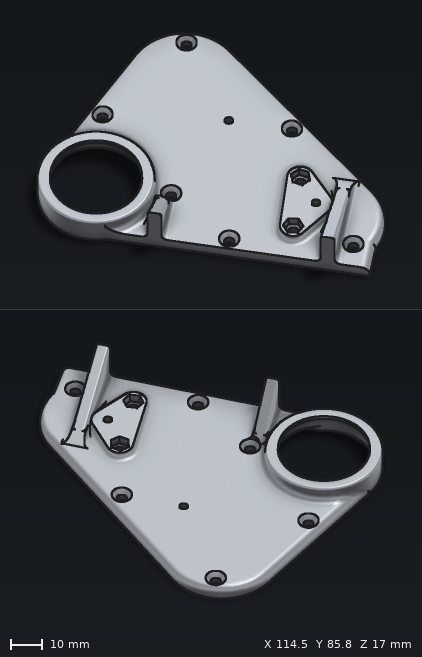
import cadquery as cq
import math


plate_thickness = 4.0
corner_radius = 18.5
border_fillet = 3.0
corner_y = 48.83
left_corner = (-16.5, corner_y)
right_corner = (55.0, corner_y)
top_y = corner_y + corner_radius

edge_angle = 41.3
edge_offset = 17.5
edge_end = 90.5

ring_radius = corner_radius
ring_height = 8.4
ring_top_fillet = 1.0
ring_base_fillet = 3.0
bore_radius = 14.5
ring_wall = 2.0
seat_radius = ring_radius - ring_wall
seat_top = 7.2
recess_radius = 20.0
recess_depth = 2.0

ribs = [(21.75, 17.2), (77.1, 33.4)]
rib_height = 17.0
rib_width = 4.5
rib_top_fillet = 1.0
rib_base_fillet = 2.0
rib_root = plate_thickness - 2.0

pad_height = 6.0
pad_fillet = 3.0
pad_pilot = (49.85, 48.7)
pad_pilot_boss_radius = 5.0
nut_boss_radius = 4.0
nuts = [((38.8, 51.35), 30.0), ((52.4, 37.5), 48.0)]
nut_flats = 5.5
nut_corners = nut_flats / math.cos(math.radians(30))
nut_depth = 3.0
bolt_radius = 1.6

pilot_radius = 1.3
plate_pilot = (6.0, 48.7)
screw_radius = 1.6
screw_head_radius = 3.2
screw_head_clearance = 4.0
screw_centres = [
    (-26.5, 57.7),
    (20.9, 62.25),
    (-20.75, 19.2),
    (17.2, 16.5),
    (42.7, 19.5),
    (68.75, 48.65),
]

beyond = 200.0
tolerance = 0.01
edge_direction = math.radians(edge_angle)
edge_normal = edge_direction - math.pi / 2

side_direction = math.atan2(-left_corner[1], -left_corner[0])
side_normal = side_direction - math.pi / 2


def polar(centre, radius, angle):
    return (centre[0] + radius * math.cos(angle), centre[1] + radius * math.sin(angle))


def cylinder(centre, radius, bottom, height):
    return cq.Workplane("XY").workplane(offset=bottom).center(*centre).circle(radius).extrude(height)


def place_on_edge(shape):
    """Move a shape built with X along the mounting edge and Y pointing into the plate."""
    foot = polar((0, 0), edge_offset, edge_normal)
    return shape.rotate((0, 0, 0), (0, 0, 1), edge_angle).translate((foot[0], foot[1], 0))


def edge_point(position, depth):
    """Point at a position along the mounting edge and a depth into the plate."""
    foot = polar((0, 0), edge_offset - depth, edge_normal)
    return polar(foot, position, edge_direction)


def oversize_outline(overhang):
    """Plate outline continued past the mounting edge by an overhang."""
    side_start = polar(left_corner, corner_radius, side_normal)
    side_touch = polar((0, 0), ring_radius, side_normal)
    turn = edge_direction - side_direction
    side_run = (edge_offset + overhang - ring_radius * math.cos(turn)) / math.sin(turn)
    side_foot = polar(side_touch, side_run, side_direction)

    along_x, along_y = polar((0, 0), 1, edge_direction)
    corner_position = right_corner[0] * along_x + right_corner[1] * along_y
    end_angle = edge_direction - math.acos((edge_end - corner_position) / corner_radius)

    top = math.pi / 2
    left_middle = (side_normal + 2 * math.pi + top) / 2
    right_middle = (top + end_angle) / 2
    return (
        cq.Workplane("XY")
        .moveTo(*side_foot)
        .lineTo(*side_start)
        .threePointArc(polar(left_corner, corner_radius, left_middle), (left_corner[0], top_y))
        .lineTo(right_corner[0], top_y)
        .threePointArc(
            polar(right_corner, corner_radius, right_middle),
            polar(right_corner, corner_radius, end_angle),
        )
        .lineTo(*edge_point(edge_end, -overhang))
        .close()
    )


def rounded_plate():
    """Plate with a rounded border, cut off sharp along the mounting edge."""
    oversize = oversize_outline(2 * border_fillet).extrude(plate_thickness)
    oversize = oversize.faces(">Z").edges().fillet(border_fillet)
    past_edge = cq.Workplane("XY").rect(2 * beyond, beyond).extrude(plate_thickness)
    return oversize.cut(place_on_edge(past_edge.translate((0, -beyond / 2, 0))))


def tip_sector():
    """Sector below the ring's touching point, in which only the ring itself remains."""
    touch = polar((0, 0), ring_radius, side_normal)
    sector = [
        (0, 0),
        touch,
        polar(touch, beyond, side_direction - math.pi / 4),
        edge_point(0, -beyond),
    ]
    return cq.Workplane("XY").polyline(sector).close().extrude(ring_height)


def add_ring(plate):
    ring = cylinder((0, 0), ring_radius, 0, ring_height)
    body = plate.union(ring)

    def is_ring_foot(edge):
        middle = edge.positionAt(0.5)
        on_ring = abs(math.hypot(middle.x, middle.y) - ring_radius) < tolerance
        above_base = tolerance < middle.z < plate_thickness + tolerance
        return on_ring and above_base and edge.geomType() != "LINE"

    tip = tip_sector().cut(ring)
    foot = [edge for edge in body.edges().vals() if is_ring_foot(edge)]
    body = body.newObject(foot).fillet(ring_base_fillet).cut(tip)
    return body.faces(">Z").edges().fillet(ring_top_fillet)


def pad():
    outline = cq.Sketch()
    for centre, _ in nuts:
        outline = outline.arc(centre, nut_boss_radius, 0.0, 360.0)
    outline = outline.arc(pad_pilot, pad_pilot_boss_radius, 0.0, 360.0).hull()

    reach = math.dist(pad_pilot, nuts[0][0]) + nut_boss_radius + 2 * pad_fillet
    slab = cq.Workplane("XY").center(*pad_pilot).rect(4 * reach, 4 * reach).extrude(plate_thickness)
    block = cq.Workplane("XY").placeSketch(outline).extrude(plate_thickness + 2 * pad_fillet)
    foot = cq.selectors.BoxSelector(
        (pad_pilot[0] - reach, pad_pilot[1] - reach, plate_thickness - tolerance),
        (pad_pilot[0] + reach, pad_pilot[1] + reach, plate_thickness + tolerance),
    )
    flared = slab.union(block).edges(foot).fillet(pad_fillet)
    layer = cq.Workplane("XY").workplane(offset=plate_thickness).rect(2 * beyond, 2 * beyond)
    return flared.intersect(layer.extrude(pad_height - plate_thickness))


def rib(position, length):
    """Gusset sloping down from the mounting edge, with flared feet and a rounded top."""
    side = rib_width / 2
    foot = side + rib_base_fillet
    foot_top = plate_thickness + rib_base_fillet

    def gusset(width):
        slope = [(0, rib_root), (0, rib_height), (length, plate_thickness), (length, rib_root)]
        return cq.Workplane("YZ").polyline(slope).close().extrude(width / 2, both=True)

    stem = gusset(rib_width).edges("not (|X or |Y or |Z)").fillet(rib_top_fillet)
    arc_middle = rib_base_fillet * (1 - math.sqrt(0.5))
    feet = (
        cq.Workplane("XZ")
        .moveTo(-foot, rib_root)
        .lineTo(-foot, plate_thickness)
        .threePointArc((-side - arc_middle, plate_thickness + arc_middle), (-side, foot_top))
        .lineTo(side, foot_top)
        .threePointArc((side + arc_middle, plate_thickness + arc_middle), (foot, plate_thickness))
        .lineTo(foot, rib_root)
        .close()
        .extrude(-length)
        .intersect(gusset(2 * foot))
    )
    return place_on_edge(stem.union(feet).translate((position, 0, 0)))


def screw_hole(centre):
    cone_depth = screw_head_radius - screw_radius
    cone = cq.Solid.makeCone(
        screw_radius,
        screw_head_radius,
        cone_depth,
        pnt=cq.Vector(centre[0], centre[1], plate_thickness - cone_depth),
    )
    shank = cylinder(centre, screw_radius, 0, plate_thickness)
    clearance = cylinder(centre, screw_head_radius, plate_thickness, screw_head_clearance)
    return shank.union(cq.Workplane(cone)).union(clearance)


def nut_hole(centre, turn):
    pocket = cq.Workplane("XY").polygon(6, nut_corners).extrude(nut_depth)
    pocket = pocket.rotate((0, 0, 0), (0, 0, 1), turn)
    pocket = pocket.translate((centre[0], centre[1], pad_height - nut_depth))
    return pocket.union(cylinder(centre, bolt_radius, 0, pad_height))


def bearing_seat():
    bore = cylinder((0, 0), bore_radius, 0, ring_height)
    seat = cylinder((0, 0), seat_radius, 0, seat_top)
    recess = cylinder((0, 0), recess_radius, 0, recess_depth)
    inside_walls = oversize_outline(0).offset2D(-ring_wall).extrude(recess_depth).cut(tip_sector())
    return bore.union(seat).union(recess.intersect(inside_walls))


body = add_ring(rounded_plate())
body = body.union(pad())
for position, length in ribs:
    body = body.union(rib(position, length))
for centre in screw_centres:
    body = body.cut(screw_hole(centre))
for centre, turn in nuts:
    body = body.cut(nut_hole(centre, turn))
for centre in (plate_pilot, pad_pilot):
    body = body.cut(cylinder(centre, pilot_radius, 0, pad_height))
result = body.cut(bearing_seat())